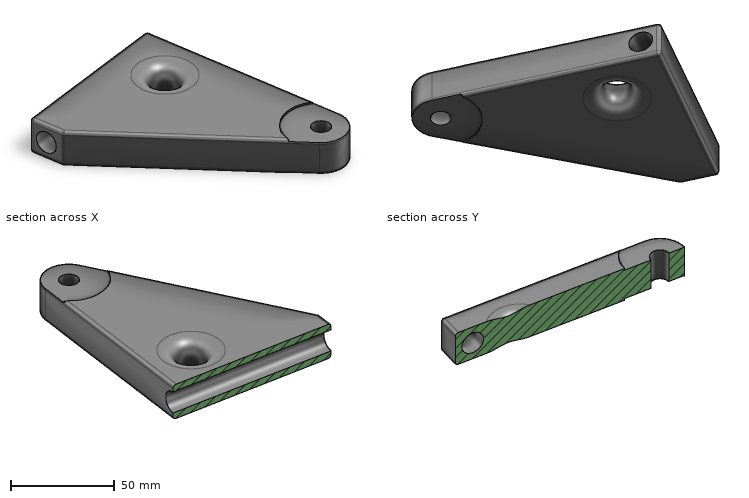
import cadquery as cq
import math

length = 130.0
width = 94.0
thickness = 20.0
foot_length = 20.0
edge_radius = 2.0

eye_radius = 14.0
eye_hole_diameter = 10.0
relief_radius = 20.0
relief_depth = 1.0
eye_x = length - eye_radius
eye_y = width - eye_radius

flare_x = 30.0
flare_edge_distance = 25.1
flare_y = width - flare_edge_distance
throat_radius = 6.5
flare_radius = thickness / 2

bore_diameter = 12.0
bore_x = foot_length / 2


def eye_point(angle):
    return (eye_x + eye_radius * math.cos(angle), eye_y + eye_radius * math.sin(angle))


def plate():
    run = eye_x - foot_length
    distance = math.hypot(run, eye_y)
    slope = math.atan2(eye_y, run) - math.asin(eye_radius / distance)
    tangent_angle = slope - math.pi / 2
    middle_angle = (tangent_angle + math.pi / 2) / 2
    body = (
        cq.Workplane("XY")
        .moveTo(0, 0)
        .lineTo(foot_length, 0)
        .lineTo(*eye_point(tangent_angle))
        .threePointArc(eye_point(middle_angle), (eye_x, width))
        .lineTo(0, width)
        .close()
        .extrude(thickness)
    )
    for corner in ((0, 0), (0, width), (foot_length, 0)):
        nearest = cq.selectors.NearestToPointSelector((*corner, thickness / 2))
        body = body.edges("|Z").edges(nearest).fillet(edge_radius)
    return body.faces("<Z or >Z").edges().fillet(edge_radius)


def eye_relief(base_z):
    return (
        cq.Workplane("XY", origin=(eye_x, eye_y, base_z))
        .circle(relief_radius)
        .extrude(relief_depth)
    )


def flared_hole():
    rim_radius = throat_radius + flare_radius
    return (
        cq.Workplane("XZ", origin=(flare_x, flare_y, 0))
        .moveTo(0, 0)
        .lineTo(rim_radius, 0)
        .threePointArc((throat_radius, flare_radius), (rim_radius, thickness))
        .lineTo(0, thickness)
        .close()
        .revolve(360, (0, 0, 0), (0, 1, 0))
    )


eye_hole = (
    cq.Workplane("XY", origin=(eye_x, eye_y, 0))
    .circle(eye_hole_diameter / 2)
    .extrude(thickness)
)
side_bore = (
    cq.Workplane("XZ", origin=(bore_x, 0, thickness / 2))
    .circle(bore_diameter / 2)
    .extrude(-width)
)

result = plate().cut(flared_hole()).cut(eye_hole).cut(side_bore)
for base_z in (0, thickness - relief_depth):
    result = result.cut(eye_relief(base_z))